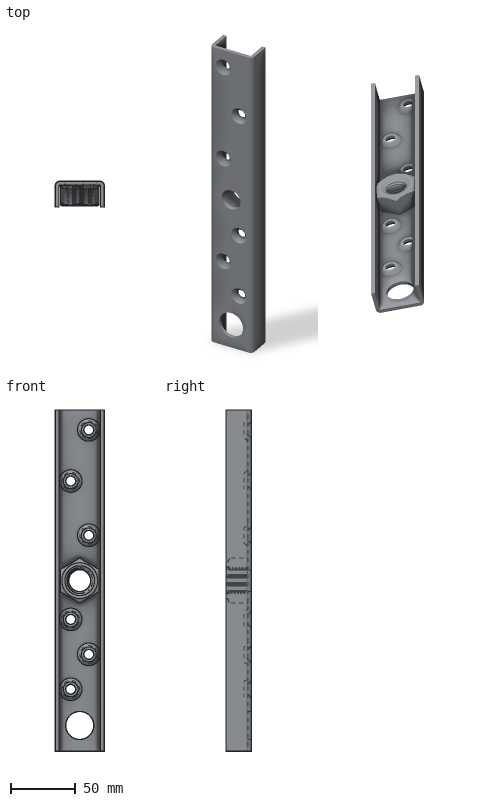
import cadquery as cq
import math

RAIL_LENGTH = 264.0
RAIL_WIDTH = 38.0
RAIL_DEPTH = 20.0
WALL = 3.0
BEND_INNER_RADIUS = 0.5
BEND_OUTER_RADIUS = BEND_INNER_RADIUS + WALL
WEB_FACE = RAIL_DEPTH - WALL
INNER_WIDTH = RAIL_WIDTH - 2 * WALL

COLLAR_OFFSET = 7.0
COLLAR_CENTRES = [
    (COLLAR_OFFSET, 116.5),
    (-COLLAR_OFFSET, 77.0),
    (COLLAR_OFFSET, 35.0),
    (-COLLAR_OFFSET, -30.0),
    (COLLAR_OFFSET, -57.0),
    (-COLLAR_OFFSET, -84.0),
]
COLLAR_HEIGHT = 3.0
COLLAR_HOLE_DIAMETER = 7.5
COLLAR_RIM_WIDTH = 2.0
COLLAR_RIM_RADIUS = COLLAR_HOLE_DIAMETER / 2 + COLLAR_RIM_WIDTH
COLLAR_BASE_RADIUS = COLLAR_RIM_RADIUS + COLLAR_HEIGHT
COLLAR_FLARE = WALL

END_HOLE_DIAMETER = 21.5
END_HOLE_EDGE_DISTANCE = 20.0
END_HOLE_Z = END_HOLE_EDGE_DISTANCE - RAIL_LENGTH / 2

NUT_SIDES = 6
NUT_FLATS = 30.0
NUT_HEIGHT = 16.0
NUT_FACE_DIAMETER = 27.8
NUT_CORNER_ANGLE = 30.0
COUNTERSINK_DIAMETER = 23.0
COUNTERSINK_ANGLE = 30.0

THREAD_PITCH = 2.5
THREAD_TURNS = 6
THREAD_START = 1.1
THREAD_START_ANGLE = 50.0
THREAD_MAJOR_RADIUS = 10.0
THREAD_MINOR_RADIUS = 8.4
THREAD_GROOVE_WIDTH = 2.0
THREAD_CUT_OVERLAP = 0.3
THREAD_ROOT_FLAT = 0.3


def cylinder_along_y(x, z, radius, start, length):
    """Cylinder running from Y = start toward +Y."""
    return cq.Workplane(cq.Solid.makeCylinder(radius, length, cq.Vector(x, start, z), cq.Vector(0, 1, 0)))


def channel():
    """Bent U section extruded along Z."""
    outer = (
        cq.Workplane("XY")
        .box(RAIL_WIDTH, RAIL_DEPTH, RAIL_LENGTH, centered=(True, False, True))
        .edges("|Z and >Y")
        .fillet(BEND_OUTER_RADIUS)
    )
    inner = (
        cq.Workplane("XY")
        .box(INNER_WIDTH, WEB_FACE, RAIL_LENGTH, centered=(True, False, True))
        .edges("|Z and >Y")
        .fillet(BEND_INNER_RADIUS)
    )
    return outer.cut(inner)


def collar():
    """Conical collar at the origin of X and Z, rooted in the middle of the web."""
    root = WALL / 2
    cone = cq.Solid.makeCone(
        COLLAR_BASE_RADIUS, COLLAR_RIM_RADIUS, COLLAR_HEIGHT, cq.Vector(0, WEB_FACE, 0), cq.Vector(0, -1, 0)
    )
    return cylinder_along_y(0, 0, COLLAR_BASE_RADIUS, WEB_FACE, root).union(cq.Workplane(cone))


def collar_bore():
    """Revolved bore at the origin of X and Z, flaring where it leaves the back of the web."""
    radius = COLLAR_HOLE_DIAMETER / 2
    return (
        cq.Workplane("XY")
        .lineTo(radius, 0)
        .lineTo(radius, RAIL_DEPTH - COLLAR_FLARE)
        .lineTo(radius + COLLAR_FLARE, RAIL_DEPTH)
        .lineTo(0, RAIL_DEPTH)
        .close()
        .revolve(360, (0, 0, 0), (0, 1, 0))
    )


def rail():
    """Channel with its collars, the end hole and a hole that continues the bore of the nut."""
    body = channel()
    for x, z in COLLAR_CENTRES:
        body = body.union(collar().translate((x, 0, z)))
    for x, z in COLLAR_CENTRES:
        body = body.cut(collar_bore().translate((x, 0, z)))
    body = body.cut(cylinder_along_y(0, END_HOLE_Z, END_HOLE_DIAMETER / 2, WEB_FACE, WALL))
    return body.cut(cylinder_along_y(0, 0, THREAD_MINOR_RADIUS, WEB_FACE, WALL))


def thread_cutter():
    """Helical ridge with a trapezoid section that cuts the thread groove, its axis along Z."""
    inner = THREAD_MINOR_RADIUS - THREAD_CUT_OVERLAP
    half = THREAD_GROOVE_WIDTH / 2
    flat = THREAD_ROOT_FLAT / 2
    helix = cq.Wire.makeHelix(THREAD_PITCH, THREAD_TURNS * THREAD_PITCH, inner)
    return (
        cq.Workplane("XZ")
        .polyline([(inner, -half), (THREAD_MAJOR_RADIUS, -flat), (THREAD_MAJOR_RADIUS, flat), (inner, half)])
        .close()
        .sweep(cq.Workplane(helix), isFrenet=True)
    )


def nut():
    """Threaded hexagon nut, modelled with its axis along Z and its seat at Z = 0, then laid in place."""
    corner_diameter = NUT_FLATS / math.cos(math.pi / NUT_SIDES)
    blank = (
        cq.Workplane("XY")
        .polygon(NUT_SIDES, corner_diameter)
        .extrude(NUT_HEIGHT)
        .rotate((0, 0, 0), (0, 0, 1), 180 / NUT_SIDES - THREAD_START_ANGLE)
    )
    face_radius = NUT_FACE_DIAMETER / 2
    slope = math.tan(math.radians(NUT_CORNER_ANGLE))
    envelope = (
        cq.Workplane("XZ")
        .polyline([(0, 0), (face_radius + NUT_HEIGHT / slope, 0), (face_radius, NUT_HEIGHT), (0, NUT_HEIGHT)])
        .close()
        .revolve(360, (0, 0, 0), (0, 1, 0))
    )
    body = blank.intersect(envelope)
    body = body.cut(cq.Workplane("XY").circle(THREAD_MINOR_RADIUS).extrude(NUT_HEIGHT))
    mouth = COUNTERSINK_DIAMETER / 2
    depth = mouth * math.tan(math.radians(COUNTERSINK_ANGLE))
    countersink = cq.Workplane(
        cq.Solid.makeCone(0, mouth, depth, cq.Vector(0, 0, NUT_HEIGHT - depth), cq.Vector(0, 0, 1))
    )
    body = body.cut(countersink)
    body = body.cut(thread_cutter().translate((0, 0, THREAD_START)))
    body = body.rotate((0, 0, 0), (0, 0, 1), THREAD_START_ANGLE)
    return body.rotate((0, 0, 0), (1, 0, 0), 90).translate((0, WEB_FACE, 0))


result = cq.Compound.makeCompound([rail().val(), nut().val()])